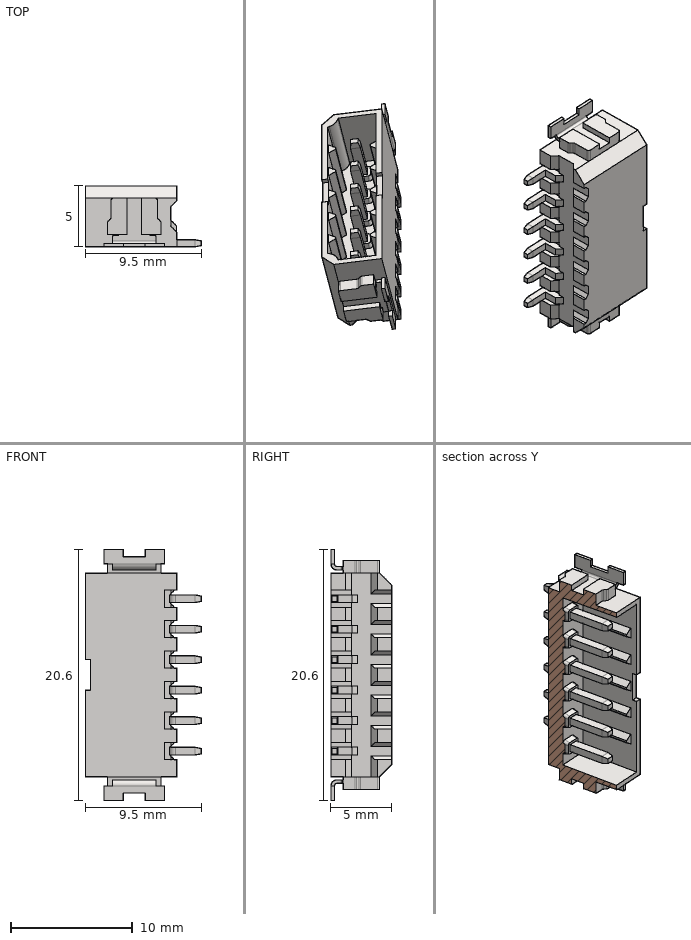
import cadquery as cq


LENGTH = 7.5
HEIGHT = 5.0
WIDTH = 16.7
TOP_CHAMFER = 1.0
PIN_COUNT = 6
PITCH = 2.5
MID_HEIGHT = HEIGHT / 2

WALL = 0.5
CAVITY_DEPTH = 5.5
MOUTH_FLARE = 0.05
CORNER_SIZE = 0.88
CORNER_ARC_REACH = 0.56
CORNER_LEAD = 0.12
CORNER_LEAD_RISE = 0.06
MOUTH_NOTCH_DEPTH = 0.4
MOUTH_NOTCH_WIDTH = PITCH

UPPER_RIB_START = 0.45
LOWER_RIB_START = 0.6
RIB_DEPTH = 0.57
RIB_BASE = 0.9
RIB_TIP = 0.2

BOSS_HEIGHT = 0.5
BOSS_SIZE_Y = 1.55
BOSS_SIZE_Z = 1.3
BOSS_CORNER = 0.3
BOSS_INSET = 0.12

TROUGH_DEPTH = 0.5
TROUGH_LOW = 1.7
TROUGH_HIGH = 3.3
TAIL_SLOT_WIDTH = 1.4
TAIL_SLOT_DEPTH = 1.0
TAIL_SLOT_CHAMFER = 0.3

PIN_START = 1.2
PIN_SIZE_Y = 0.82
PIN_SIZE_Z = 0.65
TAIL_END = 9.5
TAIL_THICKNESS = 0.6
TAIL_LEG_X = 6.87
TAIL_BEND_RADIUS = 0.5
TAIL_LEG_TOP = 2.2
PIN_TIP_LENGTH = 0.53
PIN_TIP_INSET = 0.1

BLOCK_X = 4.0
BLOCK_LOW = 1.0
BLOCK_HIGH = HEIGHT - TOP_CHAMFER
BLOCK_RISE = 1.05
BLOCK_WIDE = 4.4
BLOCK_NARROW = 3.8
BLOCK_STEP_Y = 2.05
BLOCK_FILLET = 0.2
BLOCK_GAP = 1.17

CLIP_THICKNESS = 0.3
CLIP_WIDTH = 3.6
CLIP_OFFSET = 0.25
CLIP_BEND_RADIUS = 0.5
CLIP_SHOULDER_Y = 0.92
CLIP_SHOULDER_FILLET = 0.08
CLIP_NECK_WIDTH = 2.6
FOOT_LENGTH = 5.0
FOOT_END = 10.3
FOOT_NOTCH_LENGTH = 1.8
FOOT_NOTCH_DEPTH = 0.6

HALF_WIDTH = WIDTH / 2
CAVITY_HALF_WIDTH = HALF_WIDTH - WALL
PIN_POSITIONS = [(i - (PIN_COUNT - 1) / 2) * PITCH for i in range(PIN_COUNT)]
RIB_POSITIONS = [z + PITCH / 2 for z in PIN_POSITIONS[:-1]]


def box(x_range, y_range, z_range):
    """Block between the given limits on each axis."""
    size = [high - low for low, high in (x_range, y_range, z_range)]
    corner = (x_range[0], y_range[0], z_range[0])
    return cq.Workplane("XY").box(*size, centered=False).translate(corner)


def section(x):
    """Workplane across the X axis, with Y and Z as its drawing axes."""
    return cq.Workplane("YZ").workplane(offset=x)


def on_both_ends(shape):
    """Shape joined to its mirror image at the other end of the row."""
    return shape.union(shape.mirror("XY"))


def housing_shell():
    shell = box((0, LENGTH), (0, HEIGHT), (-HALF_WIDTH, HALF_WIDTH))
    return shell.edges("|X and >Y").chamfer(TOP_CHAMFER)


def corner_key():
    """Rounded filler along the upper cavity corner at the +Z end, reaching into the walls."""
    wall_y = HEIGHT - WALL
    wall_z = CAVITY_HALF_WIDTH + MOUTH_FLARE
    inside = CORNER_SIZE - CORNER_LEAD_RISE
    return (
        section(0)
        .moveTo(wall_y, wall_z)
        .lineTo(wall_y, wall_z - CORNER_SIZE)
        .lineTo(wall_y - CORNER_LEAD, wall_z - inside)
        .threePointArc(
            (wall_y - CORNER_ARC_REACH, wall_z - CORNER_ARC_REACH),
            (wall_y - inside, wall_z - CORNER_LEAD),
        )
        .lineTo(wall_y - CORNER_SIZE, wall_z)
        .close()
        .extrude(CAVITY_DEPTH)
    )


def cavity():
    """Space inside the mouth, flared slightly along the row."""
    mouth_half_width = CAVITY_HALF_WIDTH + MOUTH_FLARE
    space = (
        cq.Workplane("XZ", origin=(0, WALL, 0))
        .moveTo(0, -mouth_half_width)
        .lineTo(CAVITY_DEPTH, -CAVITY_HALF_WIDTH)
        .lineTo(CAVITY_DEPTH, CAVITY_HALF_WIDTH)
        .lineTo(0, mouth_half_width)
        .close()
        .extrude(-(HEIGHT - 2 * WALL))
    )
    return space.cut(on_both_ends(corner_key()))


def mouth_notch():
    half_width = MOUTH_NOTCH_WIDTH / 2
    return box((0, MOUTH_NOTCH_DEPTH), (0, HEIGHT), (-half_width, half_width))


def lower_wall_rib(z, start):
    """Tapered rib on the lower cavity wall, from start back to the cavity floor."""
    return (
        section(start)
        .moveTo(WALL, z - RIB_BASE / 2)
        .lineTo(WALL + RIB_DEPTH, z - RIB_TIP / 2)
        .lineTo(WALL + RIB_DEPTH, z + RIB_TIP / 2)
        .lineTo(WALL, z + RIB_BASE / 2)
        .close()
        .extrude(CAVITY_DEPTH - start)
    )


def rib_pair(z):
    """Two facing ribs, the lower one starting further from the mouth."""
    upper = lower_wall_rib(z, UPPER_RIB_START).mirror("XZ", (0, MID_HEIGHT, 0))
    return lower_wall_rib(z, LOWER_RIB_START).union(upper)


def pin_boss(z):
    """Tapered rounded boss standing on the cavity floor."""
    top_y = BOSS_SIZE_Y - 2 * BOSS_INSET
    top_z = BOSS_SIZE_Z - 2 * BOSS_INSET
    base_outline = cq.Sketch().rect(BOSS_SIZE_Y, BOSS_SIZE_Z).vertices().fillet(BOSS_CORNER)
    top_outline = cq.Sketch().rect(top_y, top_z).vertices().fillet(BOSS_CORNER - BOSS_INSET)
    return (
        section(CAVITY_DEPTH)
        .center(MID_HEIGHT, z)
        .placeSketch(base_outline, top_outline.moved(cq.Location(cq.Vector(0, 0, -BOSS_HEIGHT))))
        .loft(ruled=True)
    )


def rear_trough():
    """Chamfered channel along the whole rear face."""
    floor_x = LENGTH - TROUGH_DEPTH
    return (
        cq.Workplane("XY", origin=(0, 0, -HALF_WIDTH))
        .moveTo(LENGTH, TROUGH_LOW - TROUGH_DEPTH)
        .lineTo(floor_x, TROUGH_LOW)
        .lineTo(floor_x, TROUGH_HIGH)
        .lineTo(LENGTH, TROUGH_HIGH + TROUGH_DEPTH)
        .close()
        .extrude(WIDTH)
    )


def tail_slot(z):
    """Deep slot for a solder tail, continued upwards as a shallower one with bevelled corners."""
    half_width = TAIL_SLOT_WIDTH / 2
    floor_x = LENGTH - TROUGH_DEPTH
    bevel_x = floor_x + TAIL_SLOT_CHAMFER
    floor_half_width = half_width - TAIL_SLOT_CHAMFER
    deep = box((LENGTH - TAIL_SLOT_DEPTH, LENGTH), (0, TROUGH_LOW), (z - half_width, z + half_width))
    shallow = (
        cq.Workplane("XZ")
        .moveTo(LENGTH, z - half_width)
        .lineTo(bevel_x, z - half_width)
        .lineTo(floor_x, z - floor_half_width)
        .lineTo(floor_x, z + floor_half_width)
        .lineTo(bevel_x, z + half_width)
        .lineTo(LENGTH, z + half_width)
        .close()
        .extrude(-HEIGHT)
    )
    return deep.union(shallow)


def pin_tip(base_x, end_x, y, z, size_y):
    """Tapered pin end from its full section at base_x to a smaller one at end_x."""
    return (
        section(base_x)
        .center(y, z)
        .rect(size_y, PIN_SIZE_Z)
        .workplane(offset=end_x - base_x)
        .rect(size_y - 2 * PIN_TIP_INSET, PIN_SIZE_Z - 2 * PIN_TIP_INSET)
        .loft(ruled=True)
    )


def pin(z):
    """Mating blade and the bent solder tail at the rear."""
    blade_x = PIN_START + PIN_TIP_LENGTH
    blade = section(blade_x).center(MID_HEIGHT, z).rect(PIN_SIZE_Y, PIN_SIZE_Z)
    blade = blade.extrude(LENGTH - TROUGH_DEPTH - blade_x)
    tail_straight_end = TAIL_END - PIN_TIP_LENGTH
    leg_rear_x = TAIL_LEG_X + TAIL_THICKNESS
    leg_bevel = leg_rear_x - (LENGTH - TROUGH_DEPTH)
    tail = (
        cq.Workplane("XY", origin=(0, 0, z - PIN_SIZE_Z / 2))
        .moveTo(tail_straight_end, 0)
        .lineTo(TAIL_LEG_X + TAIL_BEND_RADIUS, 0)
        .radiusArc((TAIL_LEG_X, TAIL_BEND_RADIUS), TAIL_BEND_RADIUS)
        .lineTo(TAIL_LEG_X, TAIL_LEG_TOP)
        .lineTo(leg_rear_x - leg_bevel, TAIL_LEG_TOP)
        .lineTo(leg_rear_x, TAIL_LEG_TOP - leg_bevel)
        .lineTo(leg_rear_x, TAIL_THICKNESS)
        .lineTo(tail_straight_end, TAIL_THICKNESS)
        .close()
        .extrude(PIN_SIZE_Z)
    )
    blade_tip = pin_tip(blade_x, PIN_START, MID_HEIGHT, z, PIN_SIZE_Y)
    tail_tip = pin_tip(tail_straight_end, TAIL_END, TAIL_THICKNESS / 2, z, TAIL_THICKNESS)
    return blade.union(tail).union(blade_tip).union(tail_tip)


def end_block():
    """Clip holder on the +Z end, split by a central gap down to the clip's outer face."""
    wide = BLOCK_WIDE / 2
    narrow = BLOCK_NARROW / 2
    step_top = BLOCK_STEP_Y + wide - narrow
    block = (
        cq.Workplane("XY", origin=(BLOCK_X, 0, HALF_WIDTH))
        .moveTo(-wide, BLOCK_LOW)
        .lineTo(wide, BLOCK_LOW)
        .lineTo(wide, BLOCK_STEP_Y)
        .lineTo(narrow, step_top)
        .lineTo(narrow, BLOCK_HIGH)
        .lineTo(-narrow, BLOCK_HIGH)
        .lineTo(-narrow, step_top)
        .lineTo(-wide, BLOCK_STEP_Y)
        .close()
        .extrude(BLOCK_RISE)
    )
    block = block.edges("|Z and (not <Y)").fillet(BLOCK_FILLET)
    gap_x = (BLOCK_X - BLOCK_GAP / 2, BLOCK_X + BLOCK_GAP / 2)
    gap_floor = HALF_WIDTH + CLIP_OFFSET + CLIP_THICKNESS
    return block.cut(box(gap_x, (BLOCK_LOW, BLOCK_HIGH), (gap_floor, HALF_WIDTH + BLOCK_RISE)))


def clip():
    """Bent sheet clip at the +Z end: neck, arm, bend and notched foot on the board."""
    arm_z = HALF_WIDTH + CLIP_OFFSET
    arm_top_z = arm_z + CLIP_THICKNESS
    bend_z = arm_z + CLIP_BEND_RADIUS
    inner_radius = CLIP_BEND_RADIUS - CLIP_THICKNESS
    left_x = BLOCK_X - CLIP_WIDTH / 2
    arm = (
        section(left_x)
        .moveTo(CLIP_SHOULDER_Y, arm_z)
        .lineTo(CLIP_BEND_RADIUS, arm_z)
        .radiusArc((0, bend_z), CLIP_BEND_RADIUS)
        .lineTo(CLIP_THICKNESS, bend_z)
        .radiusArc((CLIP_BEND_RADIUS, arm_top_z), -inner_radius)
        .lineTo(CLIP_SHOULDER_Y, arm_top_z)
        .close()
        .extrude(CLIP_WIDTH)
    )
    arm = arm.edges("|Z and >Y").fillet(CLIP_SHOULDER_FILLET)
    neck_x = (BLOCK_X - CLIP_NECK_WIDTH / 2, BLOCK_X + CLIP_NECK_WIDTH / 2)
    neck = box(neck_x, (CLIP_SHOULDER_Y, BLOCK_LOW), (arm_z, arm_top_z))
    foot_x = (BLOCK_X - FOOT_LENGTH / 2, BLOCK_X + FOOT_LENGTH / 2)
    foot = box(foot_x, (0, CLIP_THICKNESS), (bend_z, FOOT_END))
    notch_x = (BLOCK_X - FOOT_NOTCH_LENGTH / 2, BLOCK_X + FOOT_NOTCH_LENGTH / 2)
    notch = box(notch_x, (0, CLIP_THICKNESS), (FOOT_END - FOOT_NOTCH_DEPTH, FOOT_END))
    return arm.union(neck).union(foot).cut(notch)


result = housing_shell().cut(cavity()).cut(mouth_notch()).cut(rear_trough())
for rib_z in RIB_POSITIONS:
    result = result.union(rib_pair(rib_z))
for pin_z in PIN_POSITIONS:
    result = result.cut(tail_slot(pin_z))
    result = result.union(pin_boss(pin_z)).union(pin(pin_z))
result = result.union(on_both_ends(end_block().union(clip())))